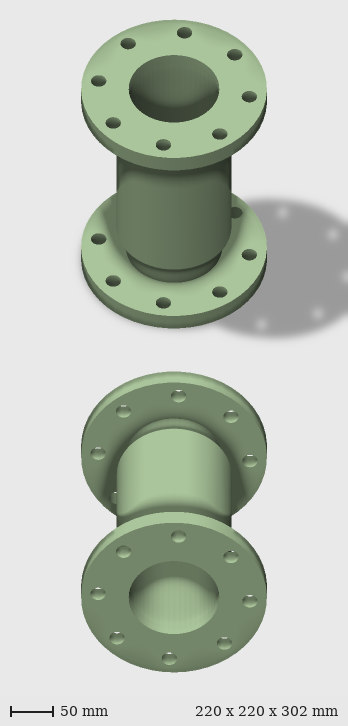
import cadquery as cq

length = 302.0
flange_diameter = 220.0
flange_thickness = 22.0

neck_diameter = 114.2
bore_diameter = 107.2

body_diameter = 136.0
body_length = 192.0
body_base = (length - body_length) / 2
body_top = body_base + body_length

fillet_radius = 3.0

bolt_count = 8
bolt_circle_diameter = 180.0
bolt_hole_diameter = 18.0
bolt_start_angle = 180 / bolt_count


def cylinder(diameter, height, base_z):
    """Upright cylinder on the Z axis, standing on base_z."""
    return cq.Workplane("XY").workplane(offset=base_z).circle(diameter / 2).extrude(height)


def make_pipe():
    """Solid neck and body, with rounded rims and filled corners at both body ends."""
    pipe = cylinder(neck_diameter, length, 0).union(cylinder(body_diameter, body_length, body_base))
    body_region = cq.selectors.BoxSelector(
        (-body_diameter, -body_diameter, body_base - fillet_radius),
        (body_diameter, body_diameter, body_top + fillet_radius),
    )
    return pipe.edges("%CIRCLE").edges(body_region).fillet(fillet_radius)


def make_flanges():
    """Identical discs at both ends of the pipe."""
    top_flange = cylinder(flange_diameter, flange_thickness, length - flange_thickness)
    return cylinder(flange_diameter, flange_thickness, 0).add(top_flange)


def make_bolt_holes():
    """Drills running the full length, through both flanges."""
    return (
        cq.Workplane("XY")
        .polarArray(bolt_circle_diameter / 2, bolt_start_angle, 360, bolt_count)
        .circle(bolt_hole_diameter / 2)
        .extrude(length)
    )


result = make_pipe().union(make_flanges())
result = result.cut(cylinder(bore_diameter, length, 0))
result = result.cut(make_bolt_holes())